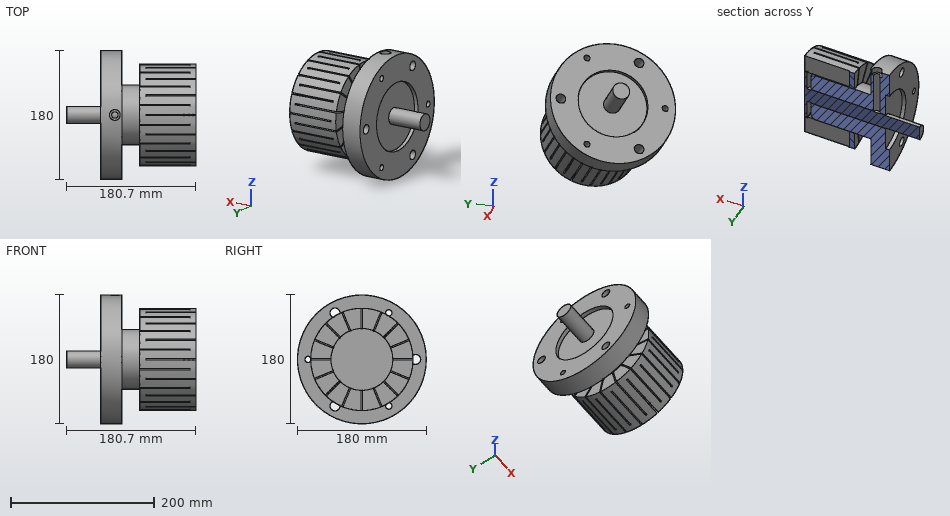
import cadquery as cq


flange_radius = 90.0
flange_thickness = 29.6
recess_radius = 50.0
recess_depth = 6.0
arbor_radius = 42.0
arbor_taper_length = 6.5
arbor_tip_radius = 38.0
neck_length = 25.0

bolt_circle_radius = 75.0
bolt_hole_diameter = 13.5
tapped_hole_diameter = 8.5
holes_per_set = 3
port_from_front = 19.9
port_diameter = 9.0
port_counterbore_diameter = 15.0
port_counterbore_depth = 9.2

sleeve_radius = 71.4
sleeve_length = 78.8
slot_width = 2.0
slot_web = 8.7
slots_per_end = 16

rod_radius = 12.1
rod_front_length = 47.3
collar_radius = 43.2
collar_thickness = 4.7
collar_gap = 5.6

sleeve_start = flange_thickness + neck_length
sleeve_end = sleeve_start + sleeve_length
collar_start = sleeve_end - collar_thickness
arbor_end = collar_start - collar_gap
taper_start = arbor_end - arbor_taper_length


def cylinder(x_start, x_end, radius):
    """A round bar on the X axis between two stations."""
    return cq.Workplane("YZ", origin=(x_start, 0, 0)).circle(radius).extrude(x_end - x_start)


def flange_holes(diameter, first_angle):
    """Cutters for three evenly spaced through holes; the angle is measured from +Y toward +Z."""
    return (
        cq.Workplane("YZ")
        .polarArray(bolt_circle_radius, first_angle, 360, holes_per_set)
        .circle(diameter / 2)
        .extrude(flange_thickness)
    )


def radial_port():
    """Cutter for the counterbored port from the top of the flange down to the rod bore."""
    top = cq.Workplane("XY", origin=(port_from_front, 0, flange_radius))
    drilling = top.circle(port_diameter / 2).extrude(-flange_radius)
    counterbore = top.circle(port_counterbore_diameter / 2).extrude(-port_counterbore_depth)
    return drilling.union(counterbore)


def make_housing():
    """Flange and arbor in one piece, bored for the rod."""
    profile = [
        (0, 0),
        (0, flange_radius),
        (flange_thickness, flange_radius),
        (flange_thickness, arbor_radius),
        (taper_start, arbor_radius),
        (arbor_end, arbor_tip_radius),
        (arbor_end, 0),
    ]
    body = cq.Workplane("XY").polyline(profile).close().revolve(360, (0, 0, 0), (1, 0, 0))
    return (
        body.cut(cylinder(0, recess_depth, recess_radius))
        .cut(flange_holes(bolt_hole_diameter, 0))
        .cut(flange_holes(tapped_hole_diameter, 180))
        .cut(radial_port())
        .cut(cylinder(0, arbor_end, rod_radius))
    )


def sleeve_slots(x_start, first_angle):
    """Cutters for one ring of radial slots, each open at one end of the sleeve."""
    slot_length = sleeve_length - slot_web
    slot = cq.Workplane("XY").box(slot_length, sleeve_radius, slot_width, centered=(False, False, True))
    slot = slot.translate((x_start, 0, 0))
    pitch = 360 / slots_per_end
    cutters = cq.Workplane("XY")
    for index in range(slots_per_end):
        cutters.add(slot.rotate((0, 0, 0), (1, 0, 0), first_angle + index * pitch))
    return cutters.combine()


def make_sleeve():
    """Sleeve fitted on the arbor, recessed for the collar, slotted from both ends in turn."""
    half_pitch = 180 / slots_per_end
    return (
        cylinder(sleeve_start, sleeve_end, sleeve_radius)
        .cut(cylinder(sleeve_start, collar_start, arbor_radius))
        .cut(cylinder(collar_start, sleeve_end, collar_radius))
        .cut(sleeve_slots(sleeve_start + slot_web, 0))
        .cut(sleeve_slots(sleeve_start, half_pitch))
    )


def make_draw_rod():
    """Rod running through the housing, ending in a collar that sits in the sleeve's end recess."""
    rod = cylinder(-rod_front_length, sleeve_end, rod_radius)
    return rod.union(cylinder(collar_start, sleeve_end, collar_radius))


housing = make_housing()
sleeve = make_sleeve()
draw_rod = make_draw_rod()

result = cq.Compound.makeCompound([housing.val(), sleeve.val(), draw_rod.val()])